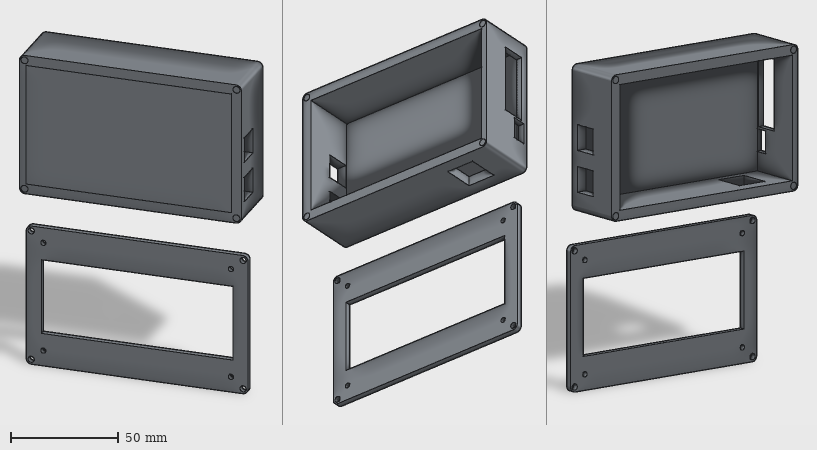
import cadquery as cq

length = 109.8
height = 70.0
corner_radius = 2.8
corner_hole_inset = 2.5

depth = 30.0
top_z = 156.0
base_z = top_z - height
left_wall = 3.1
right_wall = 5.0
floor_wall = 5.0
panel_thickness = 3.3
pin_diameter = 3.5

large_window_y = 3.9
large_window_width = 12.0
large_window_z = 112.2
large_window_height = 34.3
small_window_y = 2.2
small_window_width = 7.0
small_window_z = 100.2
small_window_height = 10.9

port_height = 12.3
port_gap = 7.6
upper_port_z = 115.6
port_bottoms = [upper_port_z, upper_port_z - port_gap - port_height]

slot_x = 14.0
slot_length = 14.8
slot_y = 7.0
slot_width = depth - 2 * slot_y

lid_x = 3.3
lid_thickness = 3.0
lid_hole_diameter = 3.0
display_length = 94.7
display_height = 37.3
mount_hole_diameter = 2.5
mount_spacing_x = 92.8
mount_spacing_z = 54.6


def block(x, y, z, size_x, size_y, size_z):
    """Box placed by its lowest corner."""
    return cq.Workplane("XY").box(size_x, size_y, size_z, centered=False).translate((x, y, z))


def rounded_plate(x, z, thickness):
    """Plate of the shared outline, with its front face at Y = 0."""
    return block(x, 0, z, length, thickness, height).edges("|Y").fillet(corner_radius)


def cylinder_y(x, z, diameter, size_y):
    """Cylinder along +Y starting at Y = 0."""
    solid = cq.Solid.makeCylinder(diameter / 2, size_y, cq.Vector(x, 0, z), cq.Vector(0, 1, 0))
    return cq.Workplane(obj=solid)


def rectangle_points(center_x, center_z, spacing_x, spacing_z):
    """Four (x, z) corners of a centred rectangle."""
    return [
        (center_x + side_x * spacing_x / 2, center_z + side_z * spacing_z / 2)
        for side_x in (-1, 1)
        for side_z in (-1, 1)
    ]


def corner_points(x, z):
    """Fastener centres for an outline whose lowest corner is at (x, z)."""
    return rectangle_points(
        x + length / 2,
        z + height / 2,
        length - 2 * corner_hole_inset,
        height - 2 * corner_hole_inset,
    )


def cavity_block(size_y):
    """Block filling the housing opening from its front face to a given depth."""
    cavity_length = length - left_wall - right_wall
    cavity_height = height - 2 * floor_wall
    return block(left_wall, 0, base_z + floor_wall, cavity_length, size_y, cavity_height)


def make_housing():
    body = rounded_plate(0, base_z, depth).cut(cavity_block(depth))

    body = body.cut(
        block(0, large_window_y, large_window_z, left_wall, large_window_width, large_window_height)
    )
    body = body.cut(
        block(0, small_window_y, small_window_z, left_wall, small_window_width, small_window_height)
    )

    for port_z in port_bottoms:
        body = body.cut(
            block(length - right_wall, large_window_y, port_z, right_wall, large_window_width, port_height)
        )

    body = body.cut(block(slot_x, slot_y, base_z, slot_length, slot_width, floor_wall))

    for x, z in corner_points(0, base_z):
        body = body.cut(cylinder_y(x, z, pin_diameter, depth))
    return body


def make_pin(x, z):
    return cylinder_y(x, z, pin_diameter, depth)


def make_front_panel():
    return cavity_block(panel_thickness)


def make_lid():
    center_x = lid_x + length / 2
    center_z = height / 2
    body = rounded_plate(lid_x, 0, lid_thickness)

    body = body.cut(
        block(
            center_x - display_length / 2,
            0,
            center_z - display_height / 2,
            display_length,
            lid_thickness,
            display_height,
        )
    )

    for x, z in corner_points(lid_x, 0):
        body = body.cut(cylinder_y(x, z, lid_hole_diameter, lid_thickness))
    for x, z in rectangle_points(center_x, center_z, mount_spacing_x, mount_spacing_z):
        body = body.cut(cylinder_y(x, z, mount_hole_diameter, lid_thickness))
    return body


housing = make_housing()
front_panel = make_front_panel()
lid = make_lid()
pins = [make_pin(x, z) for x, z in corner_points(0, base_z)]

result = cq.Compound.makeCompound(
    [housing.val(), front_panel.val(), lid.val(), *[pin.val() for pin in pins]]
)